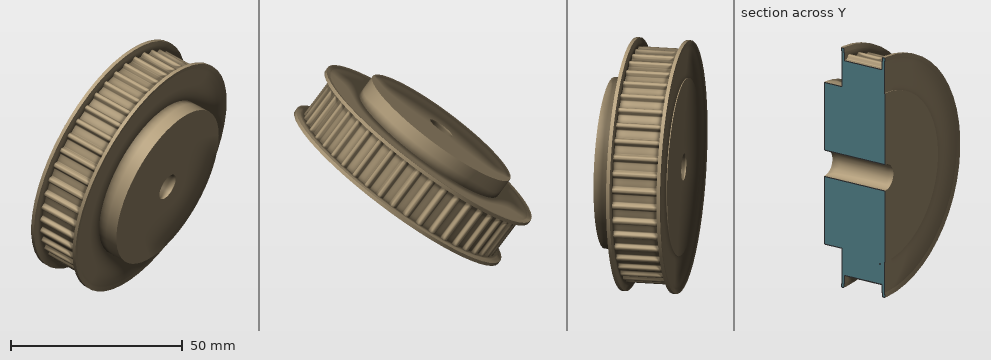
import cadquery as cq
import math

overall_length = 22.0
hub_diameter = 50.0
bore_diameter = 8.0

belt_section_width = 16.0
flange_diameter = 74.0
flange_thickness = 1.0
flare_start_diameter = 71.05
flare_offset = 0.2
raised_disc_diameter = 52.0
raised_disc_height = 0.2

tooth_count = 44
tip_diameter = 68.8
tooth_depth = 1.25
groove_floor_width = 2.5
groove_wall_angle = 25.0
groove_fillet = 0.4
tip_fillet = 0.7

tip_radius = tip_diameter / 2
root_radius = tip_radius - tooth_depth
middle_radius = (tip_radius + root_radius) / 2
pitch_angle = math.radians(360.0 / tooth_count)
flange_inner_face = flare_offset + flange_thickness
right_flange_start = belt_section_width - flange_inner_face
toothed_width = right_flange_start - flange_inner_face


def cylinder(diameter, start, length):
    """Solid cylinder along +X beginning at X = start."""
    return cq.Workplane("YZ").workplane(offset=start).circle(diameter / 2).extrude(length)


def tooth_corners(angle):
    """Sharp root and tip corners of the tooth centred at the given angle, in order around the axis."""
    floor_half_angle = math.asin(groove_floor_width / 2 / root_radius)
    root_half_angle = pitch_angle / 2 - floor_half_angle
    root_half_width = root_radius * math.sin(root_half_angle)
    root_height = root_radius * math.cos(root_half_angle)
    wall_slope = math.tan(math.radians(groove_wall_angle))
    tip_half_width = root_half_width - (tip_radius - root_height) * wall_slope
    upright_corners = [
        (root_height, -root_half_width),
        (tip_radius, -tip_half_width),
        (tip_radius, tip_half_width),
        (root_height, root_half_width),
    ]
    return [
        (
            radial * math.cos(angle) - across * math.sin(angle),
            radial * math.sin(angle) + across * math.cos(angle),
        )
        for radial, across in upright_corners
    ]


def axis_distance(edge):
    """Distance of an edge's centre from the X axis."""
    centre = edge.Center()
    return math.hypot(centre.y, centre.z)


def toothed_ring():
    """Toothed section: root-circle groove floors and flat-walled teeth, rounded at root and tip."""
    first_tooth_angle = pitch_angle / 2
    profile = cq.Workplane("YZ").workplane(offset=flange_inner_face)
    profile = profile.moveTo(*tooth_corners(first_tooth_angle)[0])
    for tooth in range(tooth_count):
        tooth_angle = first_tooth_angle + tooth * pitch_angle
        for corner in tooth_corners(tooth_angle)[1:]:
            profile = profile.lineTo(*corner)
        floor_angle = tooth_angle + pitch_angle / 2
        floor_middle = (root_radius * math.cos(floor_angle), root_radius * math.sin(floor_angle))
        next_tooth_start = tooth_corners(tooth_angle + pitch_angle)[0]
        profile = profile.threePointArc(floor_middle, next_tooth_start)
    ring = profile.close().extrude(toothed_width)

    groove_edges = ring.edges("|X").filter(lambda edge: axis_distance(edge) < middle_radius)
    ring = groove_edges.fillet(groove_fillet)
    tip_edges = ring.edges("|X").filter(lambda edge: axis_distance(edge) > middle_radius)
    return tip_edges.fillet(tip_fillet)


def left_flange():
    """Flat web with its rim flared towards -X."""
    rim_radius = flange_diameter / 2
    flare_start_radius = flare_start_diameter / 2
    section = [
        (flare_offset, 0),
        (flare_offset, flare_start_radius),
        (0, rim_radius),
        (flange_thickness, rim_radius),
        (flange_inner_face, flare_start_radius),
        (flange_inner_face, 0),
    ]
    return cq.Workplane("XY").polyline(section).close().revolve(360, (0, 0, 0), (1, 0, 0))


flange = left_flange()
mirrored_flange = flange.mirror("YZ").translate((belt_section_width, 0, 0))
raised_disc = cylinder(raised_disc_diameter, flare_offset - raised_disc_height, raised_disc_height)
hub = cylinder(hub_diameter, right_flange_start, overall_length - right_flange_start)
bore = cylinder(bore_diameter, 0, overall_length)

result = toothed_ring().union(flange).union(mirrored_flange)
result = result.union(raised_disc).union(hub).cut(bore)